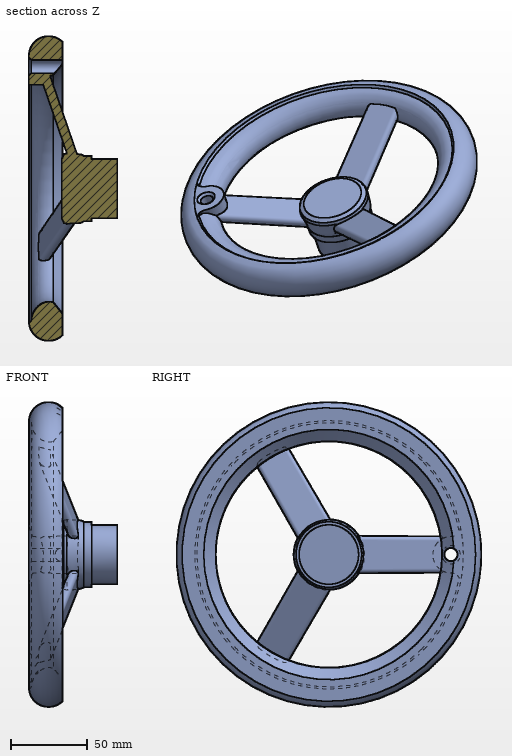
import cadquery as cq
import math


FULL_TURN = 360.0

rim_outer_radius = 100.0
rim_tube_radius = 13.0
rim_width = 22.2
rim_crest_radius = rim_outer_radius - rim_tube_radius
bevel_start_x = 16.0
bevel_back_radius = 82.0
step_outer_radius = 88.0
step_inner_radius = 86.6
step_depth = 1.6
shoulder_radius = 77.2
shoulder_depth = 6.0
relief_round = 13.0

hub_length = 58.0
hub_front_x = 21.5
hub_radius = 23.2
hub_face_radius = 19.5
hub_bevel_end_x = 22.9
hub_bevel_radius = 22.6
hub_body_start_x = 25.0
hub_body_end_x = 32.5
hub_body_end_radius = 22.7
collar_radius = 43.0 / 2
collar_start_x = 36.2
collar_end_x = 41.2
shank_radius = 39.0 / 2

spoke_count = 3
spoke_tilt = 19.0
spoke_thickness = 6.4
spoke_edge_round = 2.9
spoke_inner_width = 24.7
spoke_outer_width = 24.0
spoke_inner_reach = 17.0
spoke_outer_reach = 80.0
spoke_back_x = 22.6
spoke_back_reach = 49.3

boss_offset = 80.0
boss_radius = 12.0
boss_blend_radius = 6.0
boss_length = 14.0
handle_hole_diameter = 8.5
handle_mouth_diameter = 12.0


def revolve_about_x(profile):
    """Turn a closed profile, drawn as (x, radius), about the X axis."""
    return profile.close().revolve(FULL_TURN, (0, 0, 0), (1, 0, 0))


def tube_front_x(radius):
    """X of the rim tube's front surface at a distance from the axis."""
    return rim_tube_radius - math.sqrt(rim_tube_radius**2 - (radius - rim_crest_radius) ** 2)


def make_rim():
    tube_back_rise = math.sqrt(rim_tube_radius**2 - (rim_width - rim_tube_radius) ** 2)
    bevel_start_rise = math.sqrt(rim_tube_radius**2 - (bevel_start_x - rim_tube_radius) ** 2)
    bevel_start_radius = rim_crest_radius - bevel_start_rise
    profile = (
        cq.Workplane("XY")
        .moveTo(tube_front_x(step_outer_radius), step_outer_radius)
        .threePointArc((rim_tube_radius, rim_outer_radius), (rim_width, rim_crest_radius + tube_back_rise))
        .lineTo(rim_width, bevel_back_radius)
        .lineTo(bevel_start_x, bevel_start_radius)
        .threePointArc(
            (rim_tube_radius, rim_crest_radius - rim_tube_radius),
            (shoulder_depth, shoulder_radius),
        )
        .radiusArc((step_depth, step_inner_radius), relief_round)
    )
    return revolve_about_x(profile)


def make_hub():
    flare_length = collar_start_x - hub_body_end_x
    flare_drop = hub_body_end_radius - collar_radius
    flare_radius = (flare_length**2 + flare_drop**2) / (2 * flare_drop)
    profile = (
        cq.Workplane("XY")
        .moveTo(hub_front_x, 0)
        .lineTo(hub_front_x, hub_face_radius)
        .lineTo(hub_bevel_end_x, hub_bevel_radius)
        .lineTo(hub_body_start_x, hub_radius)
        .lineTo(hub_body_end_x, hub_body_end_radius)
        .radiusArc((collar_start_x, collar_radius), flare_radius)
        .lineTo(collar_end_x, collar_radius)
        .lineTo(collar_end_x, shank_radius)
        .lineTo(hub_length, shank_radius)
        .lineTo(hub_length, 0)
    )
    return revolve_about_x(profile)


def make_spoke():
    tilt = math.radians(spoke_tilt)
    outward = (-math.sin(tilt), math.cos(tilt), 0)
    forward = (-math.cos(tilt), -math.sin(tilt), 0)
    back_face = cq.Plane(origin=(spoke_back_x, spoke_back_reach, 0), xDir=outward, normal=forward)
    inner_end = (spoke_inner_reach - spoke_back_reach) / math.cos(tilt)
    outer_end = (spoke_outer_reach - spoke_back_reach) / math.cos(tilt)
    outline = [
        (inner_end, -spoke_inner_width / 2),
        (outer_end, -spoke_outer_width / 2),
        (outer_end, spoke_outer_width / 2),
        (inner_end, spoke_inner_width / 2),
    ]
    bar = cq.Workplane(back_face).polyline(outline).close().extrude(spoke_thickness)
    spoke_span = spoke_outer_reach - spoke_inner_reach
    long_edges = [edge for edge in bar.edges().vals() if edge.Length() > spoke_span]
    return bar.newObject(long_edges).fillet(spoke_edge_round)


def make_boss():
    """Round pad on the rim, flared into the rim's inside step by two concave arcs."""
    wall = step_outer_radius
    blend_to_axis = wall - boss_blend_radius
    blend_to_boss = boss_radius + boss_blend_radius
    blend_y = (blend_to_axis**2 - blend_to_boss**2 + boss_offset**2) / (2 * boss_offset)
    blend_z = math.sqrt(blend_to_axis**2 - blend_y**2)
    boss_touch = (
        boss_offset + (blend_y - boss_offset) * boss_radius / blend_to_boss,
        blend_z * boss_radius / blend_to_boss,
    )
    wall_touch = (blend_y * wall / blend_to_axis, blend_z * wall / blend_to_axis)
    bisector_y = (boss_touch[0] + wall_touch[0]) / 2 - blend_y
    bisector_z = (boss_touch[1] + wall_touch[1]) / 2 - blend_z
    bisector_stretch = boss_blend_radius / math.hypot(bisector_y, bisector_z)
    blend_mid = (blend_y + bisector_y * bisector_stretch, blend_z + bisector_z * bisector_stretch)

    def mirrored(point):
        return (point[0], -point[1])

    return (
        cq.Workplane("YZ")
        .moveTo(*wall_touch)
        .threePointArc(blend_mid, boss_touch)
        .threePointArc((boss_offset - boss_radius, 0), mirrored(boss_touch))
        .threePointArc(mirrored(blend_mid), mirrored(wall_touch))
        .threePointArc((wall, 0), wall_touch)
        .close()
        .extrude(boss_length)
    )


def make_handle_hole():
    axis_start = cq.Vector(0, boss_offset, 0)
    along_x = cq.Vector(1, 0, 0)
    hole_radius = handle_hole_diameter / 2
    mouth_radius = handle_mouth_diameter / 2
    hole = cq.Solid.makeCylinder(hole_radius, rim_width, axis_start, along_x)
    mouth = cq.Solid.makeCone(mouth_radius, hole_radius, mouth_radius - hole_radius, axis_start, along_x)
    return hole.fuse(mouth)


result = make_rim().union(make_hub())
for index in range(spoke_count):
    result = result.union(make_spoke().rotate((0, 0, 0), (1, 0, 0), index * FULL_TURN / spoke_count))
result = result.union(make_boss()).cut(make_handle_hole())